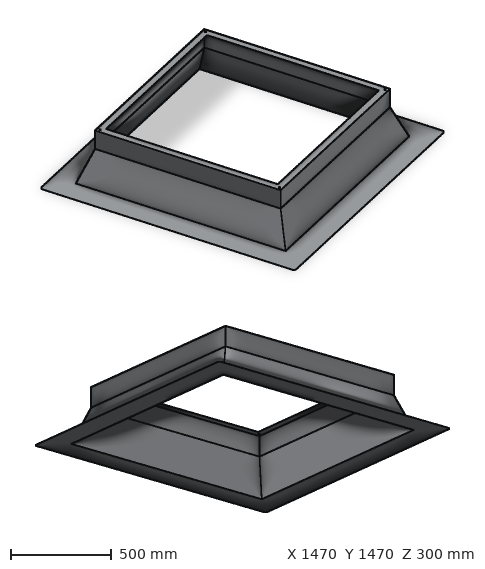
import cadquery as cq

flange_side = 1470.0
total_height = 300.0
sheet = 1.5

flange_width = 129.0
flange_corner_radius = 15.0

base_side = flange_side - 2 * flange_width
collar_side = 1072.0
collar_bottom = 190.0

rim_width = 41.0
opening_side = collar_side - 2 * rim_width
rim_hole_diameter = 8.0
rim_hole_inset = 18.5
rim_hole_spacing = collar_side - 2 * rim_hole_inset


def square_block(side, bottom, top):
    """Square prism centred on the Z axis."""
    return cq.Workplane("XY").workplane(offset=bottom).rect(side, side).extrude(top - bottom)


def square_taper(bottom_side, top_side, bottom, top):
    """Square frustum centred on the Z axis."""
    return (
        cq.Workplane("XY")
        .workplane(offset=bottom)
        .rect(bottom_side, bottom_side)
        .workplane(offset=top - bottom)
        .rect(top_side, top_side)
        .loft(ruled=True)
    )


def make_filled_body():
    """Flange, sloped curb and upright collar as one filled body."""
    flange = square_block(flange_side, 0, sheet).edges("|Z").fillet(flange_corner_radius)
    slope = square_taper(base_side, collar_side, 0, collar_bottom)
    collar = square_block(collar_side, collar_bottom, total_height)
    return flange.union(slope).union(collar)


def make_cavity():
    """Space inside the sheet walls, below the top rim and open at the bottom."""
    wall_pair = 2 * sheet
    slope = square_taper(base_side - wall_pair, collar_side - wall_pair, 0, collar_bottom)
    collar = square_block(collar_side - wall_pair, collar_bottom, total_height - sheet)
    return slope.union(collar)


def make_opening():
    """Square opening through the top rim."""
    return square_block(opening_side, 0, total_height)


def make_rim_holes():
    """Four screw holes through the corners of the top rim."""
    return (
        cq.Workplane("XY")
        .workplane(offset=total_height - sheet)
        .rect(rim_hole_spacing, rim_hole_spacing, forConstruction=True)
        .vertices()
        .circle(rim_hole_diameter / 2)
        .extrude(sheet)
    )


result = make_filled_body().cut(make_cavity()).cut(make_opening()).cut(make_rim_holes())